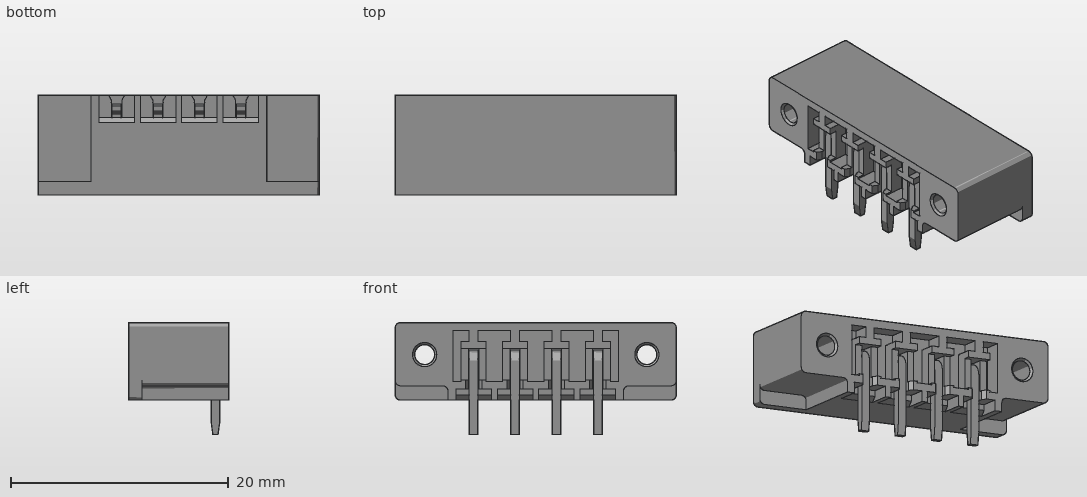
import cadquery as cq
import math


length = 25.83
depth = 9.2
height = 7.13
edge_radius = 0.5

end_cut_length = 4.85
end_cut_height = 1.32
back_lip = 1.25

mount_hole_diameter = 1.8
mount_chamfer = 0.2
mount_hole_from_pin = 4.5

pin_count = 4
pin_row_length = 11.42
pin_size = 0.8
pin_front = 0.83
pin_axis_height = 4.18
bend_outer_radius = 1.25
pin_below_housing = 3.18
tip_length = 1.14
tip_thickness = 0.5

pocket_length = 15.25
pocket_depth = 1.9
pocket_floor = 1.7
pocket_ceiling = 6.38

holder_width = 2.27
holder_setback = 0.7
stem_width = 0.85
bar_top = 5.37
bar_bottom = 4.75
pad_top = 1.85

slot_width = 0.95
slot_depth = pin_front + bend_outer_radius
mouth_width = 1.5
mouth_depth = 0.46

relief_width = 3.25
relief_height = 1.0
relief_chamfer = 0.46

pin_pitch = pin_row_length / (pin_count - 1)
pin_positions = [i * pin_pitch - pin_row_length / 2 for i in range(pin_count)]
mount_hole_x = pin_positions[-1] + mount_hole_from_pin


def block(x_middle, width, y_front, y_back, z_bottom, z_top):
    """Box centred on x_middle and lying between the given Y and Z limits."""
    box = cq.Workplane("XY").box(width, y_back - y_front, z_top - z_bottom, centered=(True, False, False))
    return box.translate((x_middle, y_front, z_bottom))


def make_shell():
    """Main body stepped up at both ends, closed at the back by a full-height lip."""
    lip_front = depth - back_lip
    upper = block(0, length, 0, lip_front, end_cut_height, height)
    foot = block(0, length - 2 * end_cut_length, 0, lip_front, 0, end_cut_height)
    main_body = upper.union(foot).edges("|Y and (not <Z)").fillet(edge_radius)
    lip = block(0, length, lip_front, depth, 0, height).edges("|Y").fillet(edge_radius)
    return main_body.union(lip)


def mount_hole(x_middle):
    """Through hole along Y with a chamfered front rim."""
    radius = mount_hole_diameter / 2
    profile = [
        (0, 0),
        (radius + mount_chamfer, 0),
        (radius, mount_chamfer),
        (radius, depth),
        (0, depth),
    ]
    cutter = cq.Workplane("XY").polyline(profile).close().revolve(360, (0, 0), (0, 1))
    return cutter.translate((x_middle, 0, pin_axis_height))


def pin_holder(x_middle):
    """T-shaped hanger, post and pad that fill the pocket around one pin."""
    stem = block(x_middle, stem_width, 0, pocket_depth, bar_top, pocket_ceiling)
    bar = block(x_middle, holder_width, 0, pocket_depth, bar_bottom, bar_top)
    post = block(x_middle, holder_width, holder_setback, pocket_depth, pad_top, bar_bottom)
    pad = block(x_middle, holder_width, 0, pocket_depth, pocket_floor, pad_top)
    return stem.union(bar).union(post).union(pad)


def pin_slot(x_middle):
    """Vertical slot, open downwards, with a mouth that widens towards the front face."""
    plan = [
        (-mouth_width / 2, 0),
        (-slot_width / 2, mouth_depth),
        (-slot_width / 2, slot_depth),
        (slot_width / 2, slot_depth),
        (slot_width / 2, mouth_depth),
        (mouth_width / 2, 0),
    ]
    slot = cq.Workplane("XY").polyline(plan).close().extrude(bar_bottom)
    return slot.translate((x_middle, 0, 0))


def pin_relief(x_middle):
    """Recess in the underside whose back wall is chamfered at the bottom."""
    side_profile = [
        (0, 0),
        (slot_depth + relief_chamfer, 0),
        (slot_depth, relief_chamfer),
        (slot_depth, relief_height),
        (0, relief_height),
    ]
    relief = cq.Workplane("YZ").polyline(side_profile).close().extrude(relief_width / 2, both=True)
    return relief.translate((x_middle, 0, 0))


def make_pin(x_middle):
    """Right-angle pin: tapered vertical leg, bend, and horizontal leg to the back face."""
    bend_inner_radius = bend_outer_radius - pin_size
    leg_back = pin_front + pin_size
    leg_top = pin_axis_height + pin_size / 2
    leg_bottom = leg_top - pin_size
    bend_y = pin_front + bend_outer_radius
    bend_z = leg_top - bend_outer_radius
    taper_start = tip_length - pin_below_housing
    tip_inset = (pin_size - tip_thickness) / 2
    diagonal = math.sqrt(0.5)
    outer_mid = (bend_y - bend_outer_radius * diagonal, bend_z + bend_outer_radius * diagonal)
    inner_mid = (bend_y - bend_inner_radius * diagonal, bend_z + bend_inner_radius * diagonal)
    side_profile = (
        cq.Workplane("YZ")
        .moveTo(pin_front + tip_inset, -pin_below_housing)
        .lineTo(pin_front, taper_start)
        .lineTo(pin_front, bend_z)
        .threePointArc(outer_mid, (bend_y, leg_top))
        .lineTo(depth, leg_top)
        .lineTo(depth, leg_bottom)
        .lineTo(bend_y, leg_bottom)
        .threePointArc(inner_mid, (leg_back, bend_z))
        .lineTo(leg_back, taper_start)
        .lineTo(leg_back - tip_inset, -pin_below_housing)
        .close()
    )
    return side_profile.extrude(pin_size / 2, both=True).translate((x_middle, 0, 0))


def make_housing(pins):
    """Shell with its mounting holes, pocket, holders, slots, reliefs and matching pin holes."""
    body = make_shell()
    for side in (-1, 1):
        body = body.cut(mount_hole(side * mount_hole_x))
    body = body.cut(block(0, pocket_length, 0, pocket_depth, pocket_floor, pocket_ceiling))
    for x_middle in pin_positions:
        body = body.union(pin_holder(x_middle))
        body = body.cut(pin_slot(x_middle)).cut(pin_relief(x_middle))
    for pin in pins:
        body = body.cut(pin)
    return body


pins = [make_pin(x_middle) for x_middle in pin_positions]
housing = make_housing(pins)

result = cq.Compound.makeCompound([housing.val(), *[pin.val() for pin in pins]])